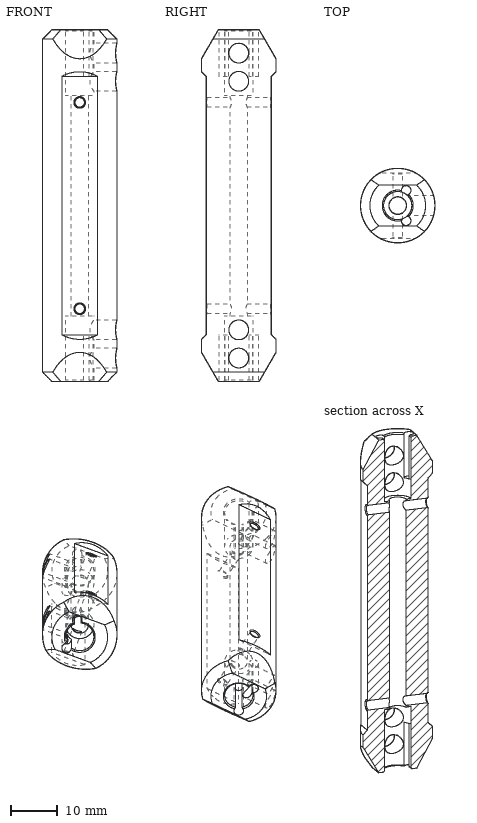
import cadquery as cq
import math

length = 75.0
diameter = 15.9
radius = diameter / 2
mid_height = length / 2

end_chamfer = 2.0
end_flat_half_width = 4.35
end_flat_angle = 30.0
cutter_margin = 3.75

flat_offset = 7.0
flat_end_inset = 10.0
flat_depth = radius - flat_offset

cross_hole_diameter = 2.0
cross_hole_rim_chamfer = 0.2
cross_hole_spacing = 43.95

bore_diameter = 3.7
socket_diameter = 6.0
socket_depth = 14.0
socket_rim_diameter = 6.6
socket_rim_chamfer = (socket_rim_diameter - socket_diameter) / 2

pin_diameter = 2.0
pin_x = 1.8
pin_y = 3.2
pin_depth = 10.0

side_hole_diameter = 4.2
side_hole_insets = (5.0, 11.0)


def extrude_yz(points):
    """Prism across the full bar width from an outline in the YZ plane."""
    return cq.Workplane("YZ").polyline(points).close().extrude(radius + cutter_margin, both=True)


def both_sides(cutter):
    """The cutter together with its copy on the opposite Y side."""
    return cutter.union(cutter.mirror("XZ"))


def both_ends(cutter):
    """The cutter together with its copy at the other end of the bar."""
    return cutter.union(cutter.mirror("XY", (0, 0, mid_height)))


def end_flat_cutter():
    outer_y = radius + cutter_margin
    slope = math.tan(math.radians(end_flat_angle))
    outer_z = (outer_y - end_flat_half_width) / slope
    points = [
        (end_flat_half_width - cutter_margin * slope, -cutter_margin),
        (outer_y, -cutter_margin),
        (outer_y, outer_z),
    ]
    return both_ends(both_sides(extrude_yz(points)))


def long_flat_cutter():
    outer_y = flat_offset + 2 * flat_depth
    outer_inset = flat_end_inset - 2 * flat_depth
    points = [
        (flat_offset, flat_end_inset),
        (outer_y, outer_inset),
        (outer_y, length - outer_inset),
        (flat_offset, length - flat_end_inset),
    ]
    return both_sides(extrude_yz(points))


def cross_hole_cutter():
    z = mid_height - cross_hole_spacing / 2
    hole_radius = cross_hole_diameter / 2
    hole = cq.Workplane("XZ", origin=(0, 0, z)).circle(hole_radius).extrude(radius, both=True)
    rim = cq.Solid.makeCone(
        hole_radius + cross_hole_rim_chamfer,
        hole_radius,
        cross_hole_rim_chamfer,
        cq.Vector(0, -flat_offset, z),
        cq.Vector(0, 1, 0),
    )
    return both_ends(hole.union(both_sides(cq.Workplane(rim))))


def socket_cutter():
    socket = cq.Workplane("XY").circle(socket_diameter / 2).extrude(socket_depth)
    rim = cq.Solid.makeCone(socket_rim_diameter / 2, socket_diameter / 2, socket_rim_chamfer)
    pins = (
        cq.Workplane("XY")
        .pushPoints([(pin_x, -pin_y), (pin_x, pin_y)])
        .circle(pin_diameter / 2)
        .extrude(pin_depth)
    )
    return both_ends(socket.union(cq.Workplane(rim)).union(pins))


def side_hole_cutter():
    centers = [(0, inset) for inset in side_hole_insets]
    holes = cq.Workplane("YZ").pushPoints(centers).circle(side_hole_diameter / 2).extrude(radius)
    return both_ends(holes)


bar = cq.Workplane("XY").circle(radius).extrude(length).faces("<Z or >Z").chamfer(end_chamfer)
bar = bar.cut(end_flat_cutter()).cut(long_flat_cutter())
bar = bar.cut(cq.Workplane("XY").circle(bore_diameter / 2).extrude(length))
bar = bar.cut(socket_cutter()).cut(side_hole_cutter())
result = bar.cut(cross_hole_cutter())